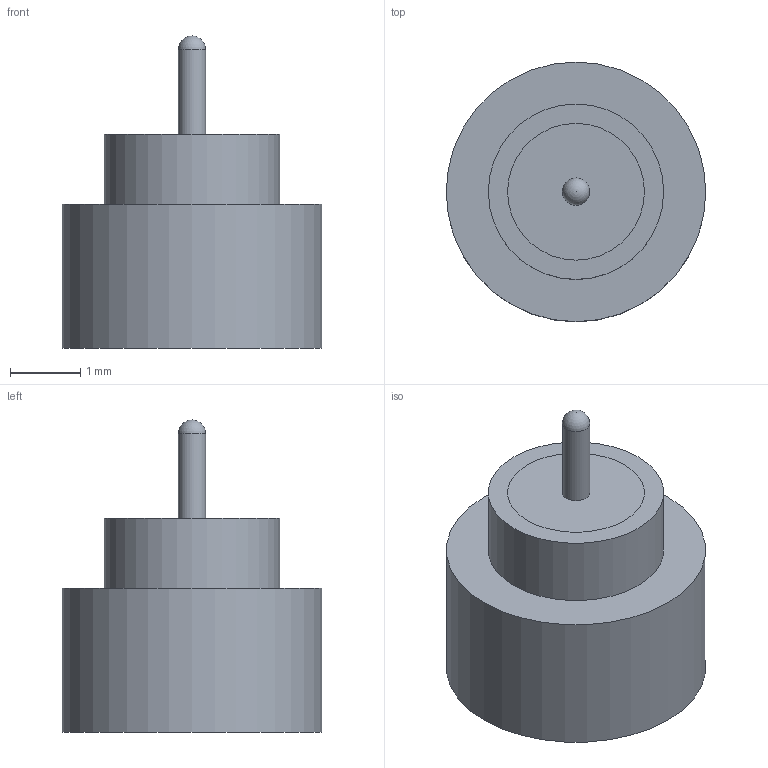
import math

import cadquery as cq

base_diameter = 3.7
base_height = 2.05
collar_diameter = 2.5
collar_height = 1.0

insulator_diameter = 1.95

pin_diameter = 0.39
pin_length = 1.4

base_radius = base_diameter / 2
collar_radius = collar_diameter / 2
insulator_radius = insulator_diameter / 2
pin_radius = pin_diameter / 2

collar_top = base_height + collar_height
pin_top = collar_top + pin_length
dome_start = pin_top - pin_radius
dome_mid_offset = pin_radius * math.sqrt(0.5)


def turned_profile():
    """Half section on the -X side of the Z axis, from the base up to the pin tip.

    The extra point at the insulator radius splits the flat collar top into
    the insulator disc and the metal ring around it.
    """
    return (
        cq.Workplane("XZ")
        .moveTo(0, 0)
        .lineTo(-base_radius, 0)
        .lineTo(-base_radius, base_height)
        .lineTo(-collar_radius, base_height)
        .lineTo(-collar_radius, collar_top)
        .lineTo(-insulator_radius, collar_top)
        .lineTo(-pin_radius, collar_top)
        .lineTo(-pin_radius, dome_start)
        .threePointArc((-dome_mid_offset, dome_start + dome_mid_offset), (0, pin_top))
        .close()
    )


result = turned_profile().revolve(360, (0, 0, 0), (0, 1, 0), clean=False)